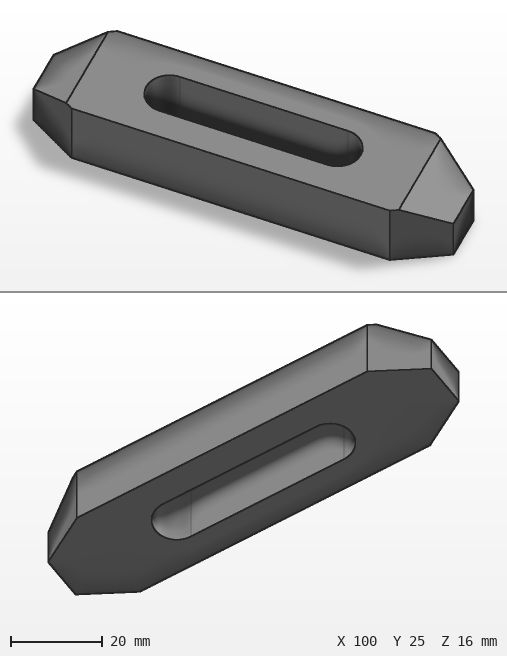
import cadquery as cq
import math

length = 100.0
width = 25.0
height = 16.0

nose_width = 11.0
nose_height = 10.0
taper_angle = math.radians(30)
side_taper_length = (width - nose_width) / 2 / math.tan(taper_angle)
top_taper_length = (height - nose_height) / math.tan(taper_angle)

slot_length = 51.0
slot_width = 11.0


def plan_body():
    """Bar with both ends narrowed symmetrically, standing on Z = 0."""
    end = length / 2
    shoulder = end - side_taper_length
    outline = [
        (-end, -nose_width / 2),
        (-shoulder, -width / 2),
        (shoulder, -width / 2),
        (end, -nose_width / 2),
        (end, nose_width / 2),
        (shoulder, width / 2),
        (-shoulder, width / 2),
        (-end, nose_width / 2),
    ]
    return cq.Workplane("XY").polyline(outline).close().extrude(height)


def side_profile():
    """Side outline with sloped upper ends, extruded across the full width."""
    end = length / 2
    shoulder = end - top_taper_length
    outline = [
        (-end, 0),
        (end, 0),
        (end, nose_height),
        (shoulder, height),
        (-shoulder, height),
        (-end, nose_height),
    ]
    return cq.Workplane("XZ").polyline(outline).close().extrude(width / 2, both=True)


slot = cq.Workplane("XY").slot2D(slot_length, slot_width).extrude(height)

result = plan_body().intersect(side_profile()).cut(slot)